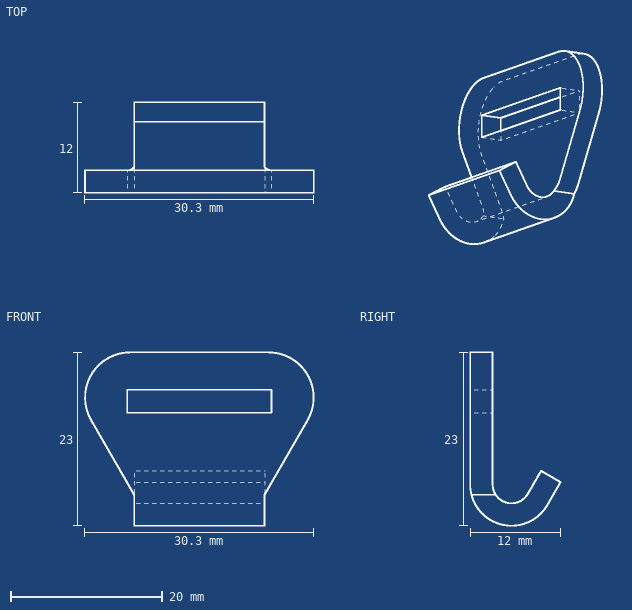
import cadquery as cq
import math

width = 30.3
depth = 12.0
height = 23.0

thickness = 3.0
corner_radius = 6.0
taper_angle = math.radians(60)

slot_width = 19.1
slot_height = 3.0
slot_top_margin = 5.0

hook_width = 17.27
inner_radius = 2.48
hook_lean = math.radians(30)
outer_radius = inner_radius + thickness


def side_profile():
    """J-shaped YZ section: front face at Y = 0, hook bottom at Z = 0."""
    center_y = outer_radius
    center_z = outer_radius
    across_y = math.cos(hook_lean)
    across_z = -math.sin(hook_lean)
    along_y = math.sin(hook_lean)
    along_z = math.cos(hook_lean)
    leg_length = (depth - center_y - outer_radius * across_y) / along_y

    def leg_point(radius, distance):
        return (
            center_y + radius * across_y + distance * along_y,
            center_z + radius * across_z + distance * along_z,
        )

    return (
        cq.Workplane("YZ")
        .moveTo(0, height)
        .lineTo(0, center_z)
        .threePointArc((center_y, center_z - outer_radius), leg_point(outer_radius, 0))
        .lineTo(*leg_point(outer_radius, leg_length))
        .lineTo(*leg_point(inner_radius, leg_length))
        .lineTo(*leg_point(inner_radius, 0))
        .threePointArc((center_y, center_z - inner_radius), (thickness, center_z))
        .lineTo(thickness, height)
        .close()
        .extrude(width / 2, both=True)
    )


def front_outline():
    """Rounded, tapered XZ outline, extruded back to the middle of the hook bend."""
    corner_x = width / 2 - corner_radius
    corner_z = height - corner_radius
    tangent_x = corner_x + corner_radius * math.sin(taper_angle)
    tangent_z = corner_z - corner_radius * math.cos(taper_angle)
    hook_x = hook_width / 2
    neck_z = tangent_z - (tangent_x - hook_x) * math.tan(taper_angle)
    return (
        cq.Workplane("XZ")
        .moveTo(-corner_x, height)
        .lineTo(corner_x, height)
        .threePointArc((width / 2, corner_z), (tangent_x, tangent_z))
        .lineTo(hook_x, neck_z)
        .lineTo(hook_x, 0)
        .lineTo(-hook_x, 0)
        .lineTo(-hook_x, neck_z)
        .lineTo(-tangent_x, tangent_z)
        .threePointArc((-width / 2, corner_z), (-corner_x, height))
        .close()
        .extrude(-outer_radius)
    )


def hook_envelope():
    """Block that keeps the free leg of the hook to the hook width."""
    return cq.Workplane("XY").box(hook_width, depth, height, centered=(True, False, False))


def strap_slot():
    """Rectangular opening through the plate."""
    slot_center_z = height - slot_top_margin - slot_height / 2
    return (
        cq.Workplane("XZ")
        .center(0, slot_center_z)
        .rect(slot_width, slot_height)
        .extrude(-thickness)
    )


envelope = front_outline().union(hook_envelope())
result = side_profile().intersect(envelope).cut(strap_slot())